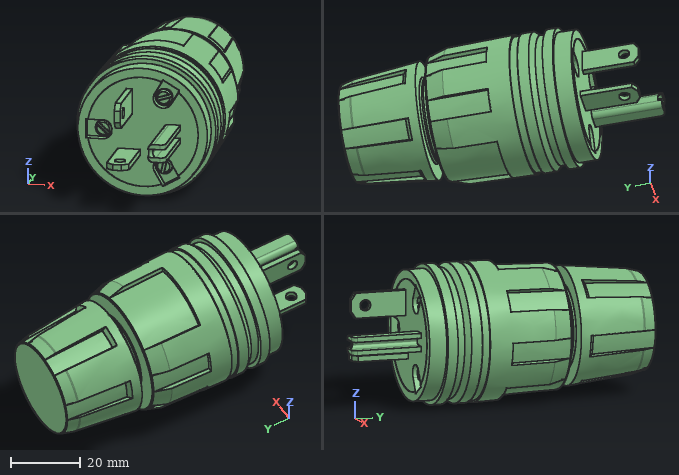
import cadquery as cq


overall_length = 91.1

flange_radius = 20.5
barrel_radius = 19.1
groove_radius = 19.95
grip_break_radius = 19.95
grip_end_radius = 18.4
body_end_radius = 18.1
flange_start = 5.2
flange_end = 8.2
shoulder_start = 10.7
shoulder_end = 12.3
groove_start = 15.7
groove_end = 18.0
grip_break = 38.1
grip_end = 43.3
body_end = 43.6

grip_recess_start = 25.0
grip_floor_front_radius = 19.0
wide_recess_angle = 64.0
wide_recess_center = 102.7
narrow_recess_angle = 19.3
grip_land_angle = (180 - wide_recess_angle - 2 * narrow_recess_angle) / 3

thread_root_radius = 12.3
thread_crest_radius = 12.8
thread_pitch = 1.2

nut_start = 46.65
nut_break = 66.5
nut_end = 70.3
nut_front_radius = 17.5
nut_break_radius = 15.4
nut_end_radius = 14.4
nut_end_chamfer = 0.3
nut_break_fillet = 2.3
nut_recess_count = 6
nut_recess_angle = 22.0
nut_recess_center = 169.0
nut_recess_start = 49.7
nut_recess_floor_start = 50.75
nut_recess_rim_radius = 17.2
nut_floor_front_radius = 15.85

insert_radius = 16.4
insert_recess = 0.1
screw_circle_radius = 11.9
screw_angles = (60, 180, 300)
pocket_width = 5.65
pocket_outer_reach = 16.9
pocket_depth = 2.55
screw_head_radius = 2.4
screw_head_height = 1.4
screw_head_chamfer = 0.55
screw_slot_width = 0.9
screw_slot_depth = 0.6
screw_slot_turn = -42.0

blade_length = 16.5
blade_thickness = 1.7
vertical_blade_width = 7.5
vertical_blade_x = -3.9
vertical_blade_z = 9.0
horizontal_blade_width = 6.6
horizontal_blade_x = -4.0
horizontal_blade_z = -6.2
blade_chamfer_width = 2.0
blade_chamfer_length = 1.4
blade_hole_radius = 1.55
blade_hole_distance = 12.2

pin_length = overall_length - nut_end
pin_back_x = 6.1
pin_front_x = 11.1
pin_width = 5.4
pin_slot_width = 2.5
pin_web_thickness = 1.2
pin_outer_fillet = 1.55
pin_inner_fillet = 1.1
pin_tip_fillet = 1.5

root_depth = 3.6
overshoot = 4.6


def turned(points, angle=360):
    """Revolve (radius, y) points about the Y axis, starting at +X and turning towards +Z."""
    return cq.Workplane("XY").polyline(points).close().revolve(angle, (0, 0, 0), (0, -1, 0))


def turn(solid, angle):
    return solid.rotate((0, 0, 0), (0, -1, 0), angle)


def along_y(start, end):
    """XZ workplane at Y = start with the distance needed to extrude to Y = end."""
    return cq.Workplane("XZ", origin=(0, start, 0)), start - end


def sector_recess(profile, center_angle, angle):
    return turn(turned(profile, angle), center_angle - angle / 2)


def make_body():
    body = turned([
        (0, 0),
        (barrel_radius, 0),
        (barrel_radius, flange_start),
        (flange_radius, flange_start),
        (flange_radius, flange_end),
        (barrel_radius, flange_end),
        (barrel_radius, shoulder_start),
        (flange_radius, shoulder_end),
        (flange_radius, groove_start),
        (groove_radius, groove_start),
        (groove_radius, groove_end),
        (flange_radius, groove_end),
        (grip_break_radius, grip_break),
        (grip_end_radius, grip_end),
        (body_end_radius, body_end),
        (0, body_end),
    ])
    profile = [
        (grip_floor_front_radius, grip_recess_start),
        (flange_radius + overshoot, grip_recess_start),
        (flange_radius + overshoot, grip_end),
        (grip_end_radius, grip_end),
    ]
    narrow_spacing = narrow_recess_angle + grip_land_angle
    first_narrow = wide_recess_center + wide_recess_angle / 2 + grip_land_angle + narrow_recess_angle / 2
    for half_turn in (0, 180):
        body = body.cut(sector_recess(profile, wide_recess_center + half_turn, wide_recess_angle))
        for index in range(2):
            center = first_narrow + index * narrow_spacing + half_turn
            body = body.cut(sector_recess(profile, center, narrow_recess_angle))
    return body


def make_neck():
    points = [(0, body_end - overshoot), (thread_root_radius, body_end - overshoot)]
    y = body_end
    while y + thread_pitch < nut_start + thread_pitch / 2:
        points.append((thread_root_radius, y))
        points.append((thread_crest_radius, y + thread_pitch / 2))
        y += thread_pitch
    points += [(thread_root_radius, y), (thread_root_radius, nut_start + overshoot), (0, nut_start + overshoot)]
    return turned(points)


def make_nut():
    nut = turned([
        (0, nut_start),
        (nut_front_radius, nut_start),
        (nut_break_radius, nut_break),
        (nut_end_radius, nut_end),
        (0, nut_end),
    ])
    break_edge = cq.selectors.RadiusNthSelector(1)
    nut = nut.edges("%CIRCLE").edges(break_edge).fillet(nut_break_fillet)
    nut = nut.faces(">Y").chamfer(nut_end_chamfer)
    profile = [
        (nut_recess_rim_radius, nut_recess_start),
        (nut_front_radius + overshoot, nut_recess_start),
        (nut_front_radius + overshoot, nut_end),
        (nut_end_radius, nut_end),
        (nut_floor_front_radius, nut_recess_floor_start),
    ]
    for index in range(nut_recess_count):
        center = nut_recess_center + index * 360 / nut_recess_count
        nut = nut.cut(sector_recess(profile, center, nut_recess_angle))
    return nut


def make_insert_recess():
    plane, depth = along_y(insert_recess, -overshoot)
    return plane.circle(insert_radius).extrude(depth)


def make_pocket():
    """Round-ended pocket on the +X side, open at the front face."""
    plane, depth = along_y(pocket_depth, -overshoot)
    half = pocket_width / 2
    return (
        plane.moveTo(pocket_outer_reach, half)
        .lineTo(screw_circle_radius, half)
        .threePointArc((screw_circle_radius - half, 0), (screw_circle_radius, -half))
        .lineTo(pocket_outer_reach, -half)
        .close()
        .extrude(depth)
    )


def make_screw():
    """Slotted screw head standing on the floor of the +X pocket."""
    head_top = pocket_depth - screw_head_height
    plane, height = along_y(pocket_depth, head_top)
    head = plane.circle(screw_head_radius).extrude(height).faces("<Y").chamfer(screw_head_chamfer)
    slot_plane, depth = along_y(head_top + screw_slot_depth, head_top)
    slot = slot_plane.rect(2 * screw_head_radius + overshoot, screw_slot_width).extrude(depth)
    head = head.cut(turn(slot, screw_slot_turn))
    return head.translate((screw_circle_radius, 0, 0))


def make_blade(width):
    """Flat blade lying in the XY plane, centred on the Y axis."""
    half = width / 2
    blade = (
        cq.Workplane("XY")
        .polyline([
            (-half, root_depth),
            (-half, blade_chamfer_length - blade_length),
            (blade_chamfer_width - half, -blade_length),
            (half - blade_chamfer_width, -blade_length),
            (half, blade_chamfer_length - blade_length),
            (half, root_depth),
        ])
        .close()
        .extrude(blade_thickness / 2, both=True)
    )
    hole = cq.Workplane("XY").center(0, -blade_hole_distance).circle(blade_hole_radius)
    return blade.cut(hole.extrude(blade_thickness, both=True))


def make_ground_pin():
    plane, length = along_y(root_depth, -pin_length)
    pin_depth = pin_front_x - pin_back_x
    pin_center_x = (pin_front_x + pin_back_x) / 2
    pin = plane.center(pin_center_x, 0).rect(pin_depth, pin_width).extrude(length)
    pin = pin.edges("|Y and <X").fillet(pin_outer_fillet)
    pin = pin.edges("|Z and >X and <Y").fillet(pin_tip_fillet)
    slot_plane, length = along_y(root_depth, -pin_length)
    slot = slot_plane.center(pin_center_x + pin_web_thickness, 0).rect(pin_depth, pin_slot_width)
    slot = slot.extrude(length).edges("|Y and <X").fillet(pin_inner_fillet)
    notch = cq.Workplane("YZ").center(-pin_length, 0).circle(pin_slot_width / 2).extrude(pin_front_x)
    return pin.cut(slot).cut(notch)


result = make_body().union(make_neck()).union(make_nut()).cut(make_insert_recess())
for angle in screw_angles:
    result = result.cut(turn(make_pocket(), angle)).union(turn(make_screw(), angle))

vertical_blade = turn(make_blade(vertical_blade_width), 90)
result = result.union(vertical_blade.translate((vertical_blade_x, 0, vertical_blade_z)))
horizontal_blade = make_blade(horizontal_blade_width)
result = result.union(horizontal_blade.translate((horizontal_blade_x, 0, horizontal_blade_z)))
result = result.union(make_ground_pin())